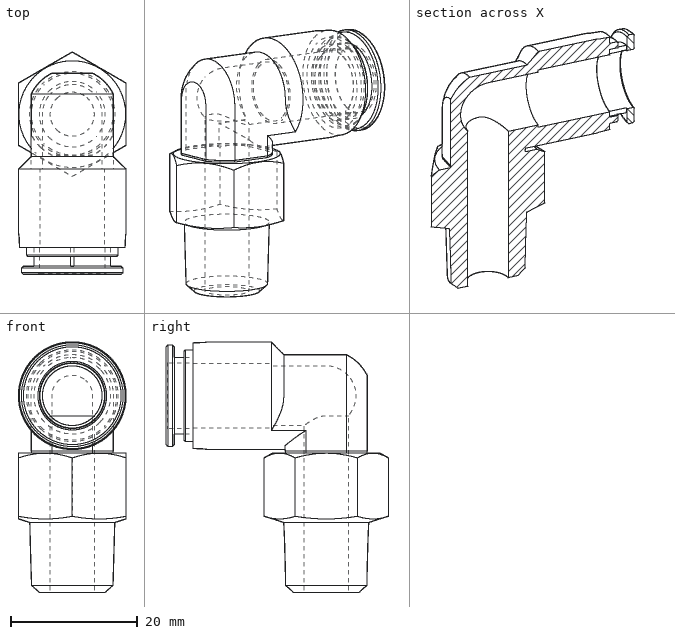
import cadquery as cq
import math


hex_flats = 17.0
hex_corner_radius = hex_flats / 2 / math.cos(math.radians(30))
hex_top = -9.0
hex_bottom = -20.0
hex_top_radius = 8.4
hex_top_chamfer = 0.8
hex_bottom_chamfer = 1.0

stud_root_radius = 6.7
stud_tip_radius = 6.45
stud_end_radius = 5.17
stud_end = -31.0
stud_tip_chamfer = 1.15

leg_width = 12.95
leg_ball_radius = 7.23
leg_half = leg_width / 2
leg_bottom = -8.73
neck_inset = 0.05

collar_radius = hex_flats / 2
cone_start = -6.68
collar_start = -8.65
collar_end = -18.8
rim_start = -19.1
rim_start_radius = 8.4
rim_end = -21.0
rim_end_radius = 8.35
guide_radius = 7.23
guide_end = -22.45
guide_chamfer = 0.25

collet_radius = 6.05
collet_inner_end = rim_end
flange_radius = 8.0
flange_back = -23.95
flange_front = -25.25
flange_chamfer = 0.3
collet_bore_radius = 5.17
collet_mouth_chamfer = 0.25
slot_width = 0.5

socket_radius = 5.1
passage_radius = 4.7
stud_bore_radius = 3.48


def turned_about_tube_axis(profile):
    """Revolve (radius, y) points about the Y axis."""
    return cq.Workplane("XY").polyline(profile).close().revolve(360, (0, 0, 0), (0, 1, 0))


def turned_about_stud_axis(profile):
    """Revolve (radius, z) points about the Z axis."""
    return cq.Workplane("XZ").polyline(profile).close().revolve(360, (0, 0, 0), (0, 1, 0))


def make_hexagon():
    prism = (
        cq.Workplane("XY")
        .workplane(offset=hex_bottom)
        .polygon(6, 2 * hex_corner_radius)
        .extrude(hex_top - hex_bottom)
        .rotate((0, 0, 0), (0, 0, 1), 30)
    )
    corner_envelope = turned_about_stud_axis([
        (0, hex_bottom),
        (stud_root_radius, hex_bottom),
        (hex_corner_radius, hex_bottom + hex_bottom_chamfer),
        (hex_corner_radius, hex_top - hex_top_chamfer),
        (hex_top_radius, hex_top),
        (0, hex_top),
    ])
    return prism.intersect(corner_envelope)


def make_stud():
    return turned_about_stud_axis([
        (0, hex_bottom),
        (stud_root_radius, hex_bottom),
        (stud_tip_radius, stud_end + stud_tip_chamfer),
        (stud_end_radius, stud_end),
        (0, stud_end),
    ])


def rounded_post(bottom, top, inset=0.0):
    """Square post about Z whose corners are rounded by one large circle."""
    base = cq.Workplane("XY").workplane(offset=bottom)
    side = leg_width - 2 * inset
    round_post = base.circle(leg_ball_radius - inset).extrude(top - bottom)
    square_post = cq.Workplane("XY").workplane(offset=bottom).rect(side, side).extrude(top - bottom)
    return round_post.intersect(square_post)


def make_elbow():
    """Rounded square leg turning, over a ball-shaped back, into an arched arm."""
    post = rounded_post(leg_bottom, 0)
    ball = cq.Workplane("XY").sphere(leg_ball_radius)
    round_bar = cq.Workplane("XZ").circle(collar_radius).extrude(-collar_start)
    arch = (
        cq.Workplane("XZ", origin=(0, leg_half, 0))
        .moveTo(-leg_half, leg_bottom)
        .lineTo(-leg_half, 0)
        .threePointArc((0, leg_half), (leg_half, 0))
        .lineTo(leg_half, leg_bottom)
        .close()
        .extrude(leg_half - collar_start)
    )
    return post.union(ball).union(round_bar).intersect(arch)


def make_neck():
    return rounded_post(hex_top, leg_bottom, neck_inset)


def make_collar():
    return turned_about_tube_axis([
        (0, cone_start),
        (leg_half, cone_start),
        (collar_radius, collar_start),
        (collar_radius, collar_end),
        (rim_start_radius, rim_start),
        (rim_end_radius, rim_end),
        (guide_radius, rim_end),
        (guide_radius, guide_end + guide_chamfer),
        (guide_radius - guide_chamfer, guide_end),
        (0, guide_end),
    ])


def make_passage():
    tube_side = turned_about_tube_axis([
        (0, 0),
        (passage_radius, 0),
        (passage_radius, collar_start),
        (socket_radius, collar_start),
        (socket_radius, collet_inner_end),
        (collet_radius, collet_inner_end),
        (collet_radius, guide_end),
        (0, guide_end),
    ])
    ball_end = cq.Workplane("XY").sphere(passage_radius)
    stud_bore = cq.Workplane("XY").circle(stud_bore_radius).extrude(stud_end)
    return tube_side.union(ball_end).union(stud_bore)


def make_housing():
    base = make_hexagon().union(make_stud())
    outside = base.union(make_neck()).union(make_elbow()).union(make_collar())
    return outside.cut(make_passage())


def make_collet():
    body = turned_about_tube_axis([
        (collet_bore_radius, collet_inner_end),
        (collet_radius, collet_inner_end),
        (collet_radius, flange_back),
        (flange_radius - flange_chamfer, flange_back),
        (flange_radius, flange_back - flange_chamfer),
        (flange_radius, flange_front + flange_chamfer),
        (flange_radius - flange_chamfer, flange_front),
        (collet_bore_radius + collet_mouth_chamfer, flange_front),
        (collet_bore_radius, flange_front + collet_mouth_chamfer),
    ])
    slot_length = collet_inner_end - flange_back
    slot_middle = (collet_inner_end + flange_back) / 2
    slot = (
        cq.Workplane("XY")
        .box(slot_width, slot_length, 2 * collet_radius)
        .translate((0, slot_middle, 0))
    )
    return body.cut(slot)


housing = make_housing()
collet = make_collet()
result = cq.Compound.makeCompound([housing.val(), collet.val()])